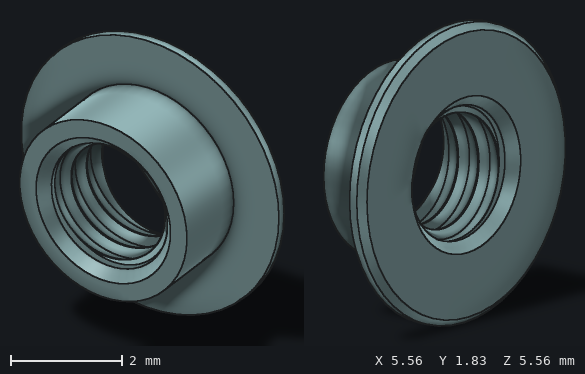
import cadquery as cq

total_length = 1.83

flange_diameter = 5.56
flange_thickness = 0.305
flange_chamfer = 0.13
shank_diameter = 3.61

crest_diameter = 2.19
root_diameter = 2.5
thread_pitch = 0.5
crest_flat = 0.03
root_flat = 0.22
groove_start_angle = 150
groove_overlap = 0.005

countersink_diameter = 2.9
countersink_depth = (countersink_diameter - root_diameter) / 2


def make_body():
    """Flange with a chamfered outer rim at Z = 0, and the shank rising from it."""
    flange = cq.Workplane("XY").circle(flange_diameter / 2).extrude(flange_thickness)
    flange = flange.faces("<Z").edges().chamfer(flange_chamfer)
    shank = cq.Workplane("XY").circle(shank_diameter / 2).extrude(total_length)
    return flange.union(shank)


def make_bore():
    """Plain cylinder at the crest diameter, through the whole part."""
    return cq.Workplane("XY").circle(crest_diameter / 2).extrude(total_length)


def make_thread_groove():
    """Helical groove that starts one pitch below the part and ends one pitch above it."""
    crest_radius = crest_diameter / 2
    root_radius = root_diameter / 2
    half_mouth = (thread_pitch - crest_flat) / 2
    half_root = root_flat / 2
    flank_slope = (half_mouth - half_root) / (root_radius - crest_radius)
    inner_radius = crest_radius - groove_overlap
    half_inner = half_mouth + groove_overlap * flank_slope

    helix_height = total_length + 2 * thread_pitch
    helix = cq.Wire.makeHelix(thread_pitch, helix_height, crest_radius, lefthand=True)
    profile = (
        cq.Workplane("XZ")
        .moveTo(inner_radius, -half_inner)
        .lineTo(root_radius, -half_root)
        .lineTo(root_radius, half_root)
        .lineTo(inner_radius, half_inner)
        .close()
    )
    groove = profile.sweep(cq.Workplane(helix), isFrenet=True)
    return groove.rotate((0, 0, 0), (0, 0, 1), groove_start_angle).translate((0, 0, -thread_pitch))


def make_countersink():
    """Truncated cone at the flange end, wide end on the outer face at Z = 0."""
    return (
        cq.Workplane("XY")
        .circle(countersink_diameter / 2)
        .workplane(offset=countersink_depth)
        .circle(root_diameter / 2)
        .loft(ruled=True)
    )


flange_countersink = make_countersink()
shank_countersink = flange_countersink.mirror("XY").translate((0, 0, total_length))

part = make_body().cut(make_bore()).cut(make_thread_groove())
part = part.cut(flange_countersink).cut(shank_countersink)

result = part.rotate((0, 0, 0), (1, 0, 0), 90)